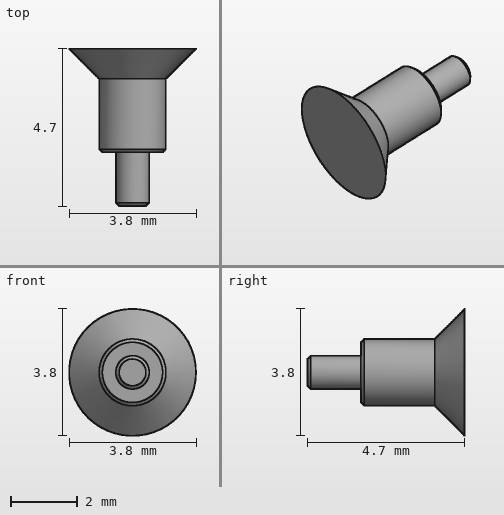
import cadquery as cq

head_diameter = 3.8
body_diameter = 2.0
pin_diameter = 1.0
total_length = 4.7
pin_length = 1.6
edge_chamfer = 0.1

head_radius = head_diameter / 2
body_radius = body_diameter / 2
pin_radius = pin_diameter / 2

head_height = head_radius - body_radius

head_base_y = -head_height
pin_end_y = -total_length
body_end_y = pin_end_y + pin_length


def turned_profile():
    """Half section of the pin, from the axis outward along +X."""
    return (
        cq.Workplane("XY")
        .moveTo(0, 0)
        .lineTo(head_radius, 0)
        .lineTo(body_radius, head_base_y)
        .lineTo(body_radius, body_end_y + edge_chamfer)
        .lineTo(body_radius - edge_chamfer, body_end_y)
        .lineTo(pin_radius, body_end_y)
        .lineTo(pin_radius, pin_end_y + edge_chamfer)
        .lineTo(pin_radius - edge_chamfer, pin_end_y)
        .lineTo(0, pin_end_y)
        .close()
    )


result = turned_profile().revolve(360, (0, 0, 0), (0, 1, 0))